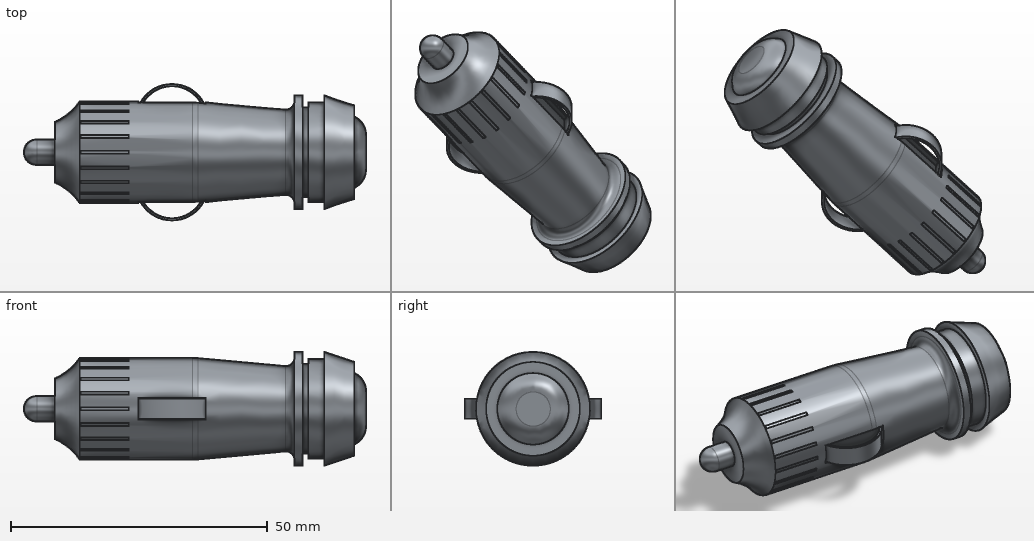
import cadquery as cq
import math


PIN_RADIUS = 5.0 / 2
PIN_DEPTH = 2.7

NOSE_START = 6.1
NOSE_RADIUS = 11.8 / 2
NOSE_BEND_X = 8.7
NOSE_BEND_RADIUS = 7.5
BARREL_START = 10.95
BARREL_RADIUS = 9.95

TAPER_START = 33.4
TAPER_SLOPE = 1 / 11
BARREL_BLEND_LENGTH = 0.5
FLANGE_BLEND_RADIUS = 1.6

FLANGE_START = 52.7
FLANGE_END = 54.35
FLANGE_RADIUS = 22.2 / 2
NECK_RADIUS = 8.8
COLLAR_START = 55.5
COLLAR_RADIUS = 9.75
CAP_START = 58.55
CAP_END = 64.4
CAP_END_RADIUS = 9.15

BUTTON_END = 66.75
BUTTON_FACE_RADIUS = 3.35
BUTTON_ROUNDING = 4.0

GROOVE_COUNT = 20
GROOVE_START = 11.15
GROOVE_END = 20.4
GROOVE_WIDTH = 0.6
GROOVE_DEPTH = 0.1

CLIP_CENTER_X = 28.9
CLIP_TOP = 26.6 / 2
CLIP_RADIUS = 7.0
CLIP_THICKNESS = 0.5
CLIP_WIDTH = 3.95
SLOT_WIDTH = 4.2
SLOT_FLOOR = 8.8
CLIP_CENTER_Y = CLIP_TOP - CLIP_RADIUS
SLOT_LENGTH = 2 * math.sqrt(CLIP_RADIUS**2 - (SLOT_FLOOR - CLIP_CENTER_Y) ** 2)

SIDES = (1, -1)


def revolve_about_x(profile):
    return profile.close().revolve(360, (0, 0, 0), (1, 0, 0))


def taper_radius(x):
    """Radius of the tapered grip at station x."""
    return BARREL_RADIUS - TAPER_SLOPE * (x - TAPER_START)


def make_pin():
    half_chord = PIN_RADIUS * math.sqrt(0.5)
    profile = (
        cq.Workplane("XZ")
        .threePointArc((PIN_RADIUS - half_chord, half_chord), (PIN_RADIUS, PIN_RADIUS))
        .lineTo(NOSE_START + PIN_DEPTH, PIN_RADIUS)
        .lineTo(NOSE_START + PIN_DEPTH, 0)
    )
    return revolve_about_x(profile)


def make_housing_blank():
    taper_angle = math.atan(TAPER_SLOPE)
    taper_blend_end = TAPER_START + BARREL_BLEND_LENGTH * math.cos(taper_angle)

    blend_center_x = FLANGE_START - FLANGE_BLEND_RADIUS
    blend_center_radius = taper_radius(blend_center_x) + FLANGE_BLEND_RADIUS / math.cos(taper_angle)
    blend_start_x = blend_center_x - FLANGE_BLEND_RADIUS * math.sin(taper_angle)

    rounding_center_x = BUTTON_END - BUTTON_ROUNDING
    rounding_sweep = math.acos((CAP_END - rounding_center_x) / BUTTON_ROUNDING)

    def rounding_point(angle):
        return (
            rounding_center_x + BUTTON_ROUNDING * math.cos(angle),
            BUTTON_FACE_RADIUS + BUTTON_ROUNDING * math.sin(angle),
        )

    profile = (
        cq.Workplane("XZ")
        .moveTo(NOSE_START, 0)
        .lineTo(NOSE_START, NOSE_RADIUS)
        .threePointArc((NOSE_BEND_X, NOSE_BEND_RADIUS), (BARREL_START, BARREL_RADIUS))
        .lineTo(TAPER_START - BARREL_BLEND_LENGTH, BARREL_RADIUS)
        .tangentArcPoint((taper_blend_end, taper_radius(taper_blend_end)), relative=False)
        .lineTo(blend_start_x, taper_radius(blend_start_x))
        .tangentArcPoint((FLANGE_START, blend_center_radius), relative=False)
        .lineTo(FLANGE_START, FLANGE_RADIUS)
        .lineTo(FLANGE_END, FLANGE_RADIUS)
        .lineTo(FLANGE_END, NECK_RADIUS)
        .lineTo(COLLAR_START, NECK_RADIUS)
        .lineTo(COLLAR_START, COLLAR_RADIUS)
        .lineTo(CAP_START, COLLAR_RADIUS)
        .lineTo(CAP_START, FLANGE_RADIUS)
        .lineTo(CAP_END, CAP_END_RADIUS)
        .lineTo(*rounding_point(rounding_sweep))
        .threePointArc(rounding_point(rounding_sweep / 2), rounding_point(0))
        .lineTo(BUTTON_END, 0)
    )
    return revolve_about_x(profile)


def make_groove(index):
    """One shallow groove cutter, turned about the plug axis to its place in the ring."""
    length = GROOVE_END - GROOVE_START
    center = (GROOVE_START + length / 2, 0, BARREL_RADIUS)
    groove = cq.Workplane("XY").box(length, GROOVE_WIDTH, 2 * GROOVE_DEPTH).translate(center)
    return groove.rotate((0, 0, 0), (1, 0, 0), index * 360 / GROOVE_COUNT)


def make_slot(side):
    """Cutter for one slot, reaching from the slot floor out to the crown of the clip."""
    depth = CLIP_TOP - SLOT_FLOOR
    center = (CLIP_CENTER_X, side * (SLOT_FLOOR + depth / 2), 0)
    return cq.Workplane("XY").box(SLOT_LENGTH, depth, SLOT_WIDTH).translate(center)


def make_housing(pin):
    housing = make_housing_blank().cut(pin)
    for index in range(GROOVE_COUNT):
        housing = housing.cut(make_groove(index))
    for side in SIDES:
        housing = housing.cut(make_slot(side))
    return housing


def make_clip(side):
    ring = (
        cq.Workplane("XY")
        .center(CLIP_CENTER_X, side * CLIP_CENTER_Y)
        .circle(CLIP_RADIUS)
        .circle(CLIP_RADIUS - CLIP_THICKNESS)
        .extrude(CLIP_WIDTH / 2, both=True)
    )
    return ring.intersect(make_slot(side))


pin = make_pin()
housing = make_housing(pin)
clips = [make_clip(side) for side in SIDES]

result = cq.Compound.makeCompound([housing.val(), pin.val(), *[clip.val() for clip in clips]])